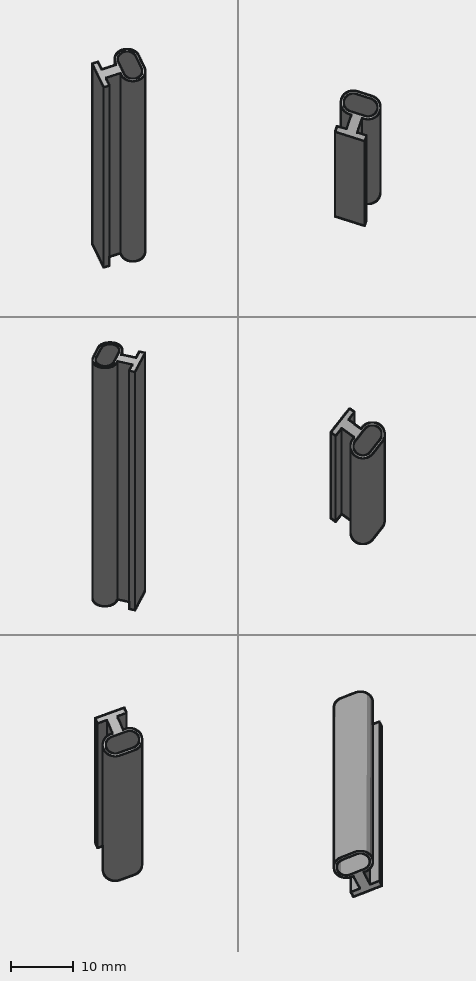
import cadquery as cq

length = 50.0
overall_depth = 7.5
tube_width = 6.5
tube_depth = 4.0
tube_wall = 0.5
flange_width = 5.0
flange_thickness = 1.0
web_thickness = 1.8

tube_center_y = overall_depth - tube_depth / 2
web_end_y = overall_depth - tube_depth + tube_wall / 2


def oblong_bar(width, depth):
    """Full-length bar with a round-ended section, centred on the tube axis."""
    return (
        cq.Workplane("XY")
        .center(0, tube_center_y)
        .slot2D(width, depth)
        .extrude(length)
    )


def rectangular_bar(width, start_y, end_y):
    """Full-length rectangular bar, centred in X."""
    return (
        cq.Workplane("XY")
        .center(0, (start_y + end_y) / 2)
        .rect(width, end_y - start_y)
        .extrude(length)
    )


tube_outside = oblong_bar(tube_width, tube_depth)
tube_bore = oblong_bar(tube_width - 2 * tube_wall, tube_depth - 2 * tube_wall)
flange = rectangular_bar(flange_width, 0, flange_thickness)
web = rectangular_bar(web_thickness, flange_thickness, web_end_y)

result = tube_outside.cut(tube_bore).union(web).union(flange)